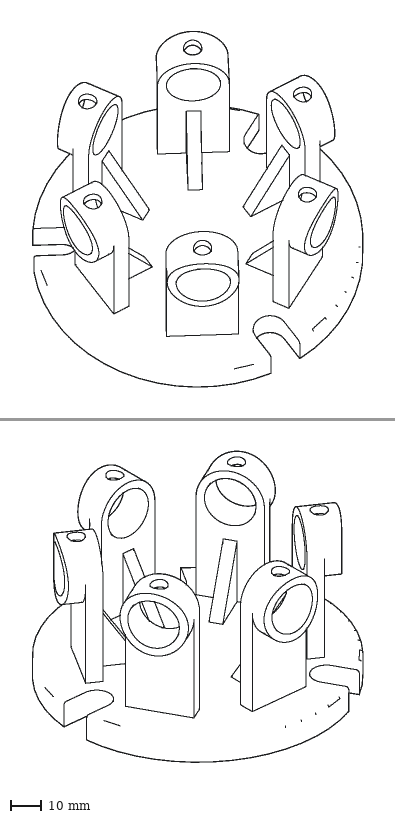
import cadquery as cq

plate_radius = 54.4
plate_thickness = 9.5
rim_fillet = 1.1

slot_count = 3
slot_width = 11.1
slot_centre_radius = 44.6

holder_count = 6
first_holder_angle = 30.0
overall_height = 59.2
ring_diameter = 23.7
bore_diameter = 17.9
ring_inner_face = 34.3
ring_outer_radius = 47.5
post_thickness = 5.9

rib_thickness = 4.8
rib_toe_radius = 19.2
rib_top = 32.8

screw_diameter = 6.0

ring_centre_height = overall_height - ring_diameter / 2
screw_radius = (ring_inner_face + ring_outer_radius) / 2


def make_plate():
    """Round plate with a filleted top rim and equally spaced open slots."""
    plate = cq.Workplane("XY").circle(plate_radius).extrude(plate_thickness)
    plate = plate.faces(">Z").edges().fillet(rim_fillet)
    slot_end = cq.Workplane("XY").center(slot_centre_radius, 0).circle(slot_width / 2).extrude(plate_thickness)
    slot_mouth = cq.Workplane("XY").box(
        plate_radius, slot_width, plate_thickness, centered=(False, True, False)
    ).translate((slot_centre_radius, 0, 0))
    slot = slot_end.union(slot_mouth)
    for index in range(slot_count):
        plate = plate.cut(slot.rotate((0, 0, 0), (0, 0, 1), index * 360 / slot_count))
    return plate


def radial_cylinder(diameter, length):
    """Cylinder along +X at ring height, starting on the inner face of the ring."""
    return (
        cq.Workplane("YZ", origin=(ring_inner_face, 0, ring_centre_height))
        .circle(diameter / 2)
        .extrude(length)
    )


def make_holder():
    """Post, ring and rib, pointing along +X."""
    ring_length = ring_outer_radius - ring_inner_face
    end_cylinder = cq.Workplane("XY").circle(ring_outer_radius).extrude(overall_height)
    ring = radial_cylinder(ring_diameter, ring_length).intersect(end_cylinder)

    post = cq.Workplane("XY").box(
        post_thickness, ring_diameter, ring_centre_height, centered=(False, True, False)
    ).translate((ring_inner_face, 0, 0))

    rib_back = ring_inner_face + post_thickness / 2
    rib = (
        cq.Workplane("XZ")
        .moveTo(rib_toe_radius, plate_thickness)
        .lineTo(ring_inner_face, rib_top)
        .lineTo(rib_back, rib_top)
        .lineTo(rib_back, plate_thickness)
        .close()
        .extrude(rib_thickness / 2, both=True)
    )

    screw_hole = (
        cq.Workplane("XY", origin=(screw_radius, 0, ring_centre_height))
        .circle(screw_diameter / 2)
        .extrude(ring_diameter / 2)
    )
    bore = radial_cylinder(bore_diameter, ring_length)
    return post.union(ring).union(rib).cut(bore).cut(screw_hole)


result = make_plate()
holder = make_holder()
for index in range(holder_count):
    angle = first_holder_angle + index * 360 / holder_count
    result = result.union(holder.rotate((0, 0, 0), (0, 0, 1), angle))